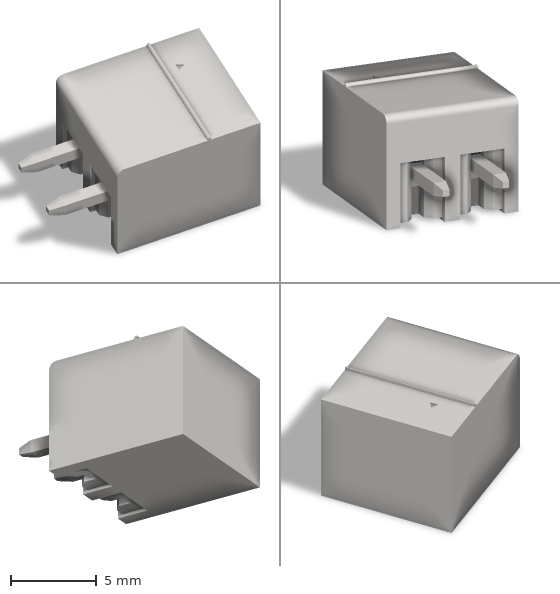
import cadquery as cq
import math


housing_width = 8.4
overall_length = 12.6
overall_height = 7.2
pin_reach = 3.39
rib_height = 0.2
housing_length = overall_length - pin_reach
housing_height = overall_height - rib_height
front_edge_radius = 0.49

rib_from_back = 3.2

mark_side_width = 0.48
mark_length = 0.48
mark_depth = 0.1
mark_base_from_back = 2.5

pole_count = 2
pole_pitch = 3.8
pin_size = 0.81
pin_tip_size = 0.4
pin_taper_length = 0.93
pin_height = 3.0
pin_embedment = 0.4
pole_positions = [(i - (pole_count - 1) / 2) * pole_pitch for i in range(pole_count)]

pocket_width = 2.82
pocket_height = 4.0
recess_depth = 0.3
funnel_width = 1.63
slot_depth = 1.51
ceiling_angle = 30.0
ramp_height = 0.7
ramp_angle_from_vertical = 30.0
underside_relief_height = 0.2
underside_relief_depth = 2.02

pin_bottom = pin_height - pin_size / 2
funnel_end = recess_depth + (funnel_width - pin_size) / 2
ceiling_drop = (slot_depth - recess_depth) * math.tan(math.radians(ceiling_angle))
ramp_depth = ramp_height * math.tan(math.radians(ramp_angle_from_vertical))
slot_end = slot_depth + ramp_depth


def make_housing():
    """Plain block with its top front edge rounded."""
    block = cq.Workplane("XY").box(housing_width, housing_length, housing_height, centered=(True, False, False))
    return block.edges("|X and >Z and <Y").fillet(front_edge_radius)


def make_rib():
    """Full-width rib, square toward the back and rounded toward the front."""
    back = housing_length - rib_from_back
    return (
        cq.Workplane("YZ", origin=(0, back, housing_height))
        .lineTo(0, rib_height)
        .radiusArc((-rib_height, 0), -rib_height)
        .close()
        .extrude(housing_width / 2, both=True)
    )


def make_mark():
    """Triangle over the first pin, pointing toward the back."""
    base = housing_length - mark_base_from_back
    centre = pole_positions[0]
    return (
        cq.Workplane("XY", origin=(centre, base, housing_height))
        .moveTo(-mark_side_width / 2, 0)
        .lineTo(mark_side_width / 2, 0)
        .lineTo(0, mark_length)
        .close()
        .extrude(-mark_depth)
    )


def make_pocket():
    """Open space in front of one pin, centred on X = 0 and open at the bottom."""
    recess = cq.Workplane("XY").box(pocket_width, recess_depth, pocket_height, centered=(True, False, False))
    relief = cq.Workplane("XY").box(
        pocket_width, underside_relief_depth, underside_relief_height, centered=(True, False, False)
    )

    plan = (
        cq.Workplane("XY")
        .moveTo(-funnel_width / 2, recess_depth)
        .lineTo(funnel_width / 2, recess_depth)
        .lineTo(pin_size / 2, funnel_end)
        .lineTo(pin_size / 2, slot_end)
        .lineTo(-pin_size / 2, slot_end)
        .lineTo(-pin_size / 2, funnel_end)
        .close()
        .extrude(pocket_height)
    )
    side = (
        cq.Workplane("YZ")
        .moveTo(recess_depth, 0)
        .lineTo(recess_depth, pocket_height)
        .lineTo(slot_depth, pocket_height - ceiling_drop)
        .lineTo(slot_end, pin_bottom)
        .lineTo(slot_depth, pin_bottom - ramp_height)
        .lineTo(slot_depth, 0)
        .close()
        .extrude(funnel_width / 2, both=True)
    )
    return recess.union(relief).union(plan.intersect(side))


def make_pin():
    """Square pin centred on X = 0, rooted in the housing, with a tapered tip."""
    root = slot_end + pin_embedment
    taper_start = pin_reach - pin_taper_length
    shank = (
        cq.Workplane("XZ", origin=(0, root, pin_height))
        .rect(pin_size, pin_size)
        .extrude(root + taper_start)
    )
    tip = (
        cq.Workplane("XZ", origin=(0, -taper_start, pin_height))
        .rect(pin_size, pin_size)
        .workplane(offset=pin_taper_length)
        .rect(pin_tip_size, pin_tip_size)
        .loft(ruled=True)
    )
    return shank.union(tip)


result = make_housing().union(make_rib()).cut(make_mark())
for x in pole_positions:
    result = result.cut(make_pocket().translate((x, 0, 0)))
for x in pole_positions:
    result = result.union(make_pin().translate((x, 0, 0)))